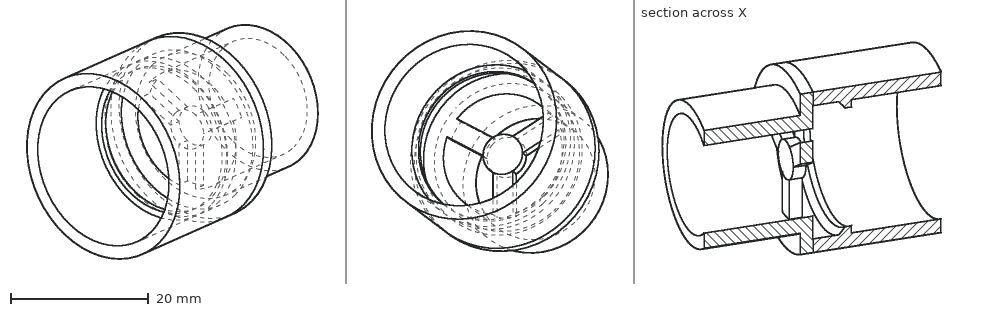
import cadquery as cq

total_length = 37.0
outer_diameter = 28.0
sleeve_bore = 24.0
sleeve_length = 20.0
lip_bore = 22.0
lip_depth = 14.0
lip_width = 1.0
flange_thickness = 2.0
tube_diameter = 22.0
tube_bore = 18.0
pin_diameter = 6.0
spoke_width = 3.0
spoke_count = 3

sleeve_start = -total_length / 2
lip_start = sleeve_start + lip_depth
flare_start = lip_start + lip_width
lip_height = (sleeve_bore - lip_bore) / 2
flare_end = flare_start + lip_height
flange_start = sleeve_start + sleeve_length
tube_end = total_length / 2


def cylinder(diameter, start, end):
    """Solid cylinder about Y between two stations."""
    plane = cq.Workplane("XZ", origin=(0, start, 0))
    return plane.circle(diameter / 2).extrude(start - end)


def make_sleeve():
    """Wide open socket with a retaining lip inside, revolved about Y."""
    outer_radius = outer_diameter / 2
    bore_radius = sleeve_bore / 2
    lip_radius = lip_bore / 2
    profile = [
        (outer_radius, sleeve_start),
        (bore_radius, sleeve_start),
        (bore_radius, lip_start),
        (lip_radius, lip_start),
        (lip_radius, flare_start),
        (bore_radius, flare_end),
        (bore_radius, flange_start),
        (outer_radius, flange_start),
    ]
    return cq.Workplane("XY").polyline(profile).close().revolve(360, (0, 0, 0), (0, 1, 0))


def make_spoke(angle):
    """Bar as deep as the flange, from the axis into the tube wall, turned about Y."""
    reach = (tube_diameter + tube_bore) / 4
    bar = cq.Workplane("XY").box(spoke_width, flange_thickness, reach, centered=(True, False, False))
    return bar.translate((0, flange_start, -reach)).rotate((0, 0, 0), (0, 1, 0), angle)


def make_pin():
    """Central pin, flush with both sides of the spokes."""
    return cylinder(pin_diameter, flange_start, flange_start + flange_thickness)


def make_flanged_tube(center_pin):
    """Narrow flanged tube with spokes that meet the pin."""
    body = cylinder(outer_diameter, flange_start, flange_start + flange_thickness)
    body = body.union(cylinder(tube_diameter, flange_start, tube_end))
    body = body.cut(cylinder(tube_bore, flange_start, tube_end))
    for index in range(spoke_count):
        body = body.union(make_spoke(index * 360 / spoke_count))
    return body.cut(center_pin)


sleeve = make_sleeve()
pin = make_pin()
flanged_tube = make_flanged_tube(pin)

result = cq.Compound.makeCompound([sleeve.val(), flanged_tube.val(), pin.val()])